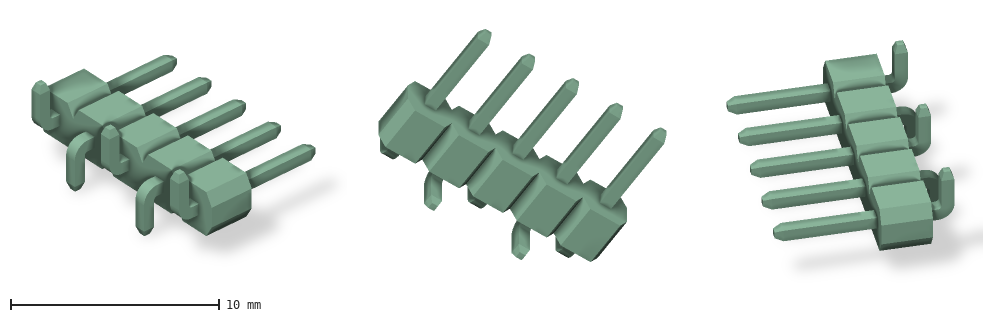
import cadquery as cq

pin_count = 5
row_length = 12.7
pitch = row_length / pin_count

housing_width = pitch
housing_height = 2.54
housing_depth = 2.54
corner_cut_x = 0.41
corner_cut_z = 0.7

pin_size = 0.64
rear_reach = 5.0
front_reach = 1.27
leg_reach = 2.43
bend_inner_radius = 0.19
bend_outer_radius = bend_inner_radius + pin_size
tip_length = 0.41
tip_end_size = 0.34

half_pin = pin_size / 2
rear_end_y = housing_depth / 2 + rear_reach
leg_front_y = -housing_depth / 2 - front_reach
leg_back_y = leg_front_y + pin_size
leg_axis_y = leg_front_y + half_pin
rear_taper_y = rear_end_y - tip_length
leg_taper_z = leg_reach - tip_length


def make_housing(x):
    """Octagonal block with a square through hole for its pin."""
    side_x = housing_width / 2
    top_z = housing_height / 2
    flat_x = side_x - corner_cut_x
    flat_z = top_z - corner_cut_z
    outline = [
        (side_x, flat_z),
        (flat_x, top_z),
        (-flat_x, top_z),
        (-side_x, flat_z),
        (-side_x, -flat_z),
        (-flat_x, -top_z),
        (flat_x, -top_z),
        (side_x, -flat_z),
    ]
    block = cq.Workplane("XZ").polyline(outline).close().extrude(housing_depth / 2, both=True)
    pin_hole = cq.Workplane("XY").box(pin_size, housing_depth, pin_size)
    return block.cut(pin_hole).translate((x, 0, 0))


def make_bent_bar():
    """Square bar along Y that bends upward into the leg, without its tips."""
    bar = (
        cq.Workplane("YZ")
        .moveTo(rear_taper_y, half_pin)
        .lineTo(leg_back_y, half_pin)
        .lineTo(leg_back_y, leg_taper_z)
        .lineTo(leg_front_y, leg_taper_z)
        .lineTo(leg_front_y, -half_pin)
        .lineTo(rear_taper_y, -half_pin)
        .close()
        .extrude(half_pin, both=True)
    )
    inner_corner = cq.selectors.NearestToPointSelector((0, leg_back_y, half_pin))
    outer_corner = cq.selectors.NearestToPointSelector((0, leg_front_y, -half_pin))
    bar = bar.edges("|X").edges(inner_corner).fillet(bend_inner_radius)
    return bar.edges("|X").edges(outer_corner).fillet(bend_outer_radius)


def make_tip(base_center, direction):
    """Square taper that starts at base_center and narrows along direction."""
    base = cq.Plane(origin=base_center, xDir=(1, 0, 0), normal=direction)
    return (
        cq.Workplane(base)
        .rect(pin_size, pin_size)
        .workplane(offset=tip_length)
        .rect(tip_end_size, tip_end_size)
        .loft(ruled=True)
    )


def make_pin(x, leg_up):
    """Bent pin with its leg pointing up, or down when leg_up is False."""
    rear_tip = make_tip((0, rear_taper_y, 0), (0, 1, 0))
    leg_tip = make_tip((0, leg_axis_y, leg_taper_z), (0, 0, 1))
    pin = make_bent_bar().union(rear_tip).union(leg_tip)
    if not leg_up:
        pin = pin.mirror("XY")
    return pin.translate((x, 0, 0))


housings = []
pins = []
for index in range(pin_count):
    x = (index - (pin_count - 1) / 2) * pitch
    housings.append(make_housing(x).solids().val())
    pins.append(make_pin(x, leg_up=index % 2 == 0).solids().val())

result = cq.Compound.makeCompound([*housings, *pins])